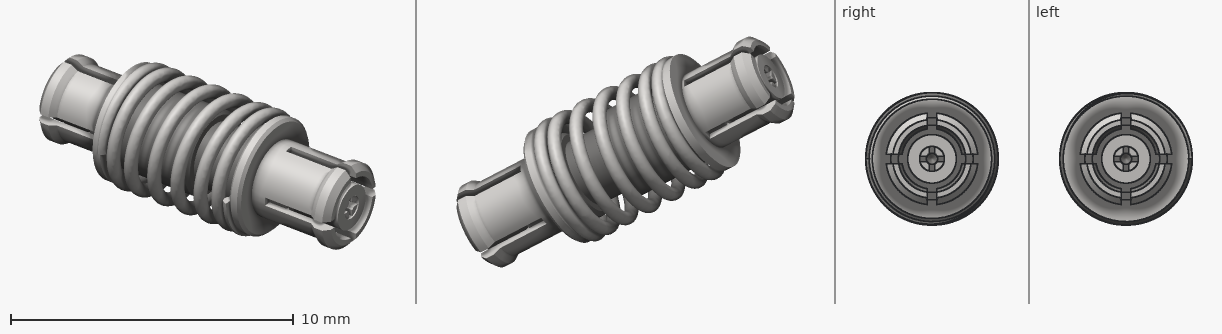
import cadquery as cq
import math


overall_length = 12.59
spring_outer_radius = 2.345

barrel_radius = 1.455
collar_radius = 1.625
collar_nose_radius = 1.39
collar_chamfer_depth = 0.22
collar_flat_depth = 0.56
collar_taper_depth = 0.82
bore_radius = 1.19
bore_depth = 2.06
bore_floor_chamfer = 0.12
slot_width = 0.34
slot_depth = 2.80

core_radius = 0.86
core_setback = 0.07
contact_radius = 0.44
contact_setback = 0.05
contact_hole_radius = 0.20
contact_hole_depth = 1.0
drill_point_angle = 118
contact_slot_width = 0.19
contact_slot_depth = 0.8

flange_radius = 2.22
left_flange_depth = 2.89
left_flange_thickness = 0.31
right_flange_depth = 3.37
right_flange_thickness = 0.48
flange_chamfer = 0.11
hub_radius = 1.63
hub_chamfer = 0.13
left_hub_length = 3.38
right_hub_length = 0.73
neck_radius = 1.25

wire_radius = 0.25
active_pitch = 1.0
active_turns = 3
closed_turns = 1
transition_turns = 1

half_length = overall_length / 2
left_flange_outer = -half_length + left_flange_depth
left_flange_inner = left_flange_outer + left_flange_thickness
right_flange_outer = half_length - right_flange_depth
right_flange_inner = right_flange_outer - right_flange_thickness
left_hub_end = left_flange_inner + left_hub_length
right_hub_end = right_flange_inner - right_hub_length
spring_length = right_flange_inner - left_flange_inner
spring_mean_radius = spring_outer_radius - wire_radius


def revolve_profile(points):
    """Revolve a closed (x, radius) outline about the X axis."""
    outline = cq.Workplane("XY").polyline(points).close()
    return outline.revolve(360, (0, 0, 0), (1, 0, 0))


def disc(start_x, length, radius):
    """Cylinder along +X starting at start_x."""
    return cq.Workplane("YZ").workplane(offset=start_x).circle(radius).extrude(length)


def crossed_bars(start_x, length, width, radius):
    """Two bars crossing on the axis, trimmed to a cylinder."""
    span = 2 * radius
    bars = cq.Workplane("YZ").workplane(offset=start_x).rect(span, width).extrude(length)
    upright = cq.Workplane("YZ").workplane(offset=start_x).rect(width, span).extrude(length)
    return bars.union(upright).intersect(disc(start_x, length, radius))


def turned_body():
    """Outside of the connector, without the openings in its ends."""
    left_side = [
        (-half_length, 0),
        (-half_length, collar_nose_radius),
        (-half_length + collar_chamfer_depth, collar_radius),
        (-half_length + collar_flat_depth, collar_radius),
        (-half_length + collar_taper_depth, barrel_radius),
        (left_flange_outer, barrel_radius),
        (left_flange_outer, flange_radius),
        (left_flange_inner, flange_radius),
        (left_flange_inner, hub_radius),
        (left_hub_end - hub_chamfer, hub_radius),
        (left_hub_end, hub_radius - hub_chamfer),
        (left_hub_end, neck_radius),
    ]
    right_side = [
        (right_hub_end, neck_radius),
        (right_hub_end, hub_radius - hub_chamfer),
        (right_hub_end + hub_chamfer, hub_radius),
        (right_flange_inner, hub_radius),
        (right_flange_inner, flange_radius - flange_chamfer),
        (right_flange_inner + flange_chamfer, flange_radius),
        (right_flange_outer - flange_chamfer, flange_radius),
        (right_flange_outer, flange_radius - flange_chamfer),
        (right_flange_outer, barrel_radius),
        (half_length - collar_taper_depth, barrel_radius),
        (half_length - collar_flat_depth, collar_radius),
        (half_length - collar_chamfer_depth, collar_radius),
        (half_length, collar_nose_radius),
        (half_length, 0),
    ]
    return revolve_profile(left_side + right_side)


def socket_opening():
    """List what is removed from the left end: bore, finger slots and the contact's openings."""
    end = -half_length
    bore = revolve_profile([
        (end, 0),
        (end, bore_radius),
        (end + bore_depth - bore_floor_chamfer, bore_radius),
        (end + bore_depth, bore_radius - bore_floor_chamfer),
        (end + bore_depth, core_radius),
        (end + core_setback, core_radius),
        (end + core_setback, 0),
    ])

    slots = crossed_bars(end, slot_depth, slot_width, 2 * collar_radius)
    slots = slots.cut(disc(end + bore_depth, slot_depth - bore_depth, bore_radius))
    slots = slots.cut(disc(end + core_setback, bore_depth - core_setback, core_radius))

    contact_face = end + core_setback + contact_setback
    recess = disc(end + core_setback, contact_setback, contact_radius)
    drill_tip = contact_hole_radius / math.tan(math.radians(drill_point_angle / 2))
    hole = revolve_profile([
        (contact_face, 0),
        (contact_face, contact_hole_radius),
        (contact_face + contact_hole_depth, contact_hole_radius),
        (contact_face + contact_hole_depth + drill_tip, 0),
    ])
    contact_slots = crossed_bars(contact_face, contact_slot_depth, contact_slot_width, contact_radius)
    return [bore, slots, recess, hole, contact_slots]


def make_connector():
    connector = turned_body()
    for opening in socket_opening():
        connector = connector.cut(opening).cut(opening.mirror("YZ"))
    return connector


def make_spring():
    """Sweep the wire along a left-handed coil, then grind both ends flat against the flanges."""
    end_turns = closed_turns + transition_turns
    total_turns = 2 * end_turns + active_turns
    active_share = active_turns + transition_turns
    closed_share = 2 * closed_turns + transition_turns
    closed_pitch = (spring_length - active_share * active_pitch) / closed_share

    def advance(turns):
        """Distance along X from the ground end of a half spring to the given turn."""
        ramp = min(max(turns - closed_turns, 0), transition_turns)
        active = max(turns - end_turns, 0)
        extra_pitch = active_pitch - closed_pitch
        return closed_pitch * turns + extra_pitch * (ramp ** 2 / (2 * transition_turns) + active)

    def coil_point(turns):
        if turns <= total_turns / 2:
            x = left_flange_inner + advance(turns)
        else:
            x = right_flange_inner - advance(total_turns - turns)
        angle = 2 * math.pi * turns
        return (x, -spring_mean_radius * math.cos(angle), spring_mean_radius * math.sin(angle))

    points_per_turn = 24
    point_count = points_per_turn * total_turns + 1
    path = cq.Workplane("XY").spline([coil_point(i / points_per_turn) for i in range(point_count)])
    wire_section = (
        cq.Workplane("XY")
        .center(left_flange_inner, -spring_mean_radius)
        .circle(wire_radius)
    )
    coil = wire_section.sweep(path, isFrenet=True)
    return coil.intersect(disc(left_flange_inner, spring_length, spring_outer_radius + wire_radius))


connector = make_connector()
spring = make_spring()

result = cq.Compound.makeCompound([connector.val(), spring.val()])